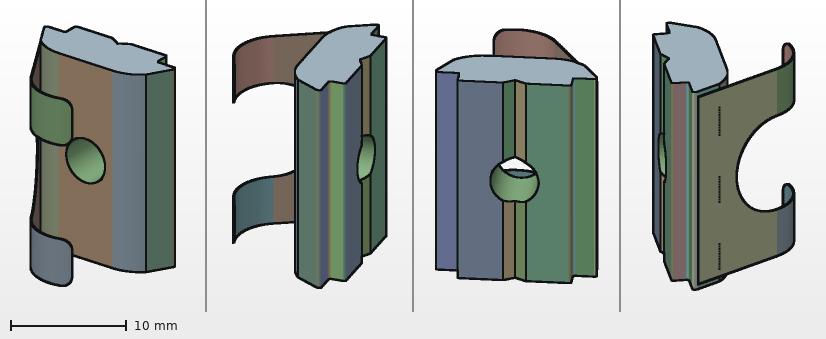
import cadquery as cq
import math


body_length = 19.0
body_depth = 5.2
neck_half_width = 4.95
neck_height = 1.5
shoulder_half_width = 7.0
flat_half_width = 2.92
belly_radius = 4.05
belly_end_x = 5.71
flank_angle = math.radians(60)
edge_radius = 0.2
flank_blend_radius = 0.48
groove_half_width = 1.0
groove_angle = math.radians(30)
hole_diameter = 4.2

spring_width = 18.0
spring_thickness = 0.1
bend_inner_radius = 4.0
bend_end_angle = math.radians(30)
spring_tip_y = -11.69
window_radius = 4.5
leg_corner_radius = 1.0

belly_center_y = belly_radius - body_depth
belly_end_y = belly_center_y - math.sqrt(belly_radius**2 - (belly_end_x - flat_half_width)**2)
flank_corner_y = belly_end_y + (shoulder_half_width - belly_end_x) * math.tan(flank_angle)
groove_depth = groove_half_width * math.tan(groove_angle)

blend_setback = flank_blend_radius * math.tan((math.pi / 2 - flank_angle) / 2)
flank_start_x = shoulder_half_width - blend_setback * math.cos(flank_angle)
flank_start_y = flank_corner_y - blend_setback * math.sin(flank_angle)


def point_at(center, radius, angle):
    """Point on a circle, with the angle measured from -Y toward +X."""
    return (center[0] + radius * math.sin(angle), center[1] - radius * math.cos(angle))


def belly_middle(side):
    """Middle point of the rounded belly edge; side is 1 for +X and -1 for -X."""
    end_angle = math.asin((belly_end_x - flat_half_width) / belly_radius)
    return point_at((side * flat_half_width, belly_center_y), belly_radius, side * end_angle / 2)


def make_body():
    profile = (
        cq.Workplane("XY")
        .workplane(offset=-body_length / 2)
        .moveTo(0, -groove_depth)
        .lineTo(groove_half_width, 0)
        .lineTo(neck_half_width, 0)
        .lineTo(neck_half_width, -neck_height)
        .lineTo(shoulder_half_width, -neck_height)
        .lineTo(shoulder_half_width, flank_corner_y)
        .lineTo(belly_end_x, belly_end_y)
        .threePointArc(belly_middle(1), (flat_half_width, -body_depth))
        .lineTo(-flat_half_width, -body_depth)
        .threePointArc(belly_middle(-1), (-belly_end_x, belly_end_y))
        .lineTo(-shoulder_half_width, flank_corner_y)
        .lineTo(-shoulder_half_width, -neck_height)
        .lineTo(-neck_half_width, -neck_height)
        .lineTo(-neck_half_width, 0)
        .lineTo(-groove_half_width, 0)
        .close()
    )
    body = profile.extrude(body_length)

    rounded_corners = (
        (neck_half_width, 0, edge_radius),
        (neck_half_width, -neck_height, edge_radius),
        (shoulder_half_width, -neck_height, edge_radius),
        (shoulder_half_width, flank_corner_y, flank_blend_radius),
    )
    for x, y, radius in rounded_corners:
        for side in (-1, 1):
            corner = cq.selectors.NearestToPointSelector((side * x, y, 0))
            body = body.edges(corner).fillet(radius)

    hole = cq.Workplane("XZ").circle(hole_diameter / 2).extrude(body_depth)
    return body.cut(hole)


def make_corner_cutter(tip_plane, corner_z, side):
    """Piece outside the rounded corner of a leg whose edge on this side is at corner_z."""
    inner_z = corner_z - side * leg_corner_radius
    arc_middle = (
        inner_z + side * leg_corner_radius * math.sqrt(0.5),
        leg_corner_radius * (1 - math.sqrt(0.5)),
    )
    return (
        cq.Workplane(tip_plane)
        .moveTo(corner_z, 0)
        .lineTo(inner_z, 0)
        .threePointArc(arc_middle, (corner_z, leg_corner_radius))
        .close()
        .extrude(leg_corner_radius, both=True)
    )


def make_spring():
    bend_outer_radius = bend_inner_radius + spring_thickness
    bend_center_y = spring_tip_y + bend_outer_radius
    normal = (-math.sin(flank_angle), -math.cos(flank_angle))
    inner_start = (-flank_start_x, flank_start_y)
    outer_start = (
        inner_start[0] + spring_thickness * normal[0],
        inner_start[1] + spring_thickness * normal[1],
    )
    bend_start_y = bend_center_y + bend_inner_radius * normal[1]
    bend_start_x = inner_start[0] + (inner_start[1] - bend_start_y) / math.tan(flank_angle)
    bend_center = (bend_start_x - bend_inner_radius * normal[0], bend_center_y)

    inner_end = point_at(bend_center, bend_inner_radius, bend_end_angle)
    outer_end = point_at(bend_center, bend_outer_radius, bend_end_angle)
    strip = (
        cq.Workplane("XY")
        .workplane(offset=-spring_width / 2)
        .moveTo(*inner_start)
        .lineTo(bend_start_x, bend_start_y)
        .threePointArc(point_at(bend_center, bend_inner_radius, 0), inner_end)
        .lineTo(*outer_end)
        .threePointArc(
            point_at(bend_center, bend_outer_radius, 0),
            point_at(bend_center, bend_outer_radius, -flank_angle),
        )
        .lineTo(*outer_start)
        .close()
        .extrude(spring_width)
    )

    window_plane = cq.Plane(
        origin=(bend_start_x, bend_start_y, 0), xDir=(0, 0, 1), normal=(*normal, 0)
    )
    gap_length = 2 * bend_outer_radius
    window = (
        cq.Workplane(window_plane)
        .moveTo(-window_radius, 0)
        .threePointArc((0, window_radius), (window_radius, 0))
        .lineTo(window_radius, -gap_length)
        .lineTo(-window_radius, -gap_length)
        .close()
        .extrude(gap_length, both=True)
    )
    strip = strip.cut(window)

    tip_plane = cq.Plane(
        origin=(*outer_end, 0),
        xDir=(0, 0, 1),
        normal=(math.sin(bend_end_angle), -math.cos(bend_end_angle), 0),
    )
    for end in (-1, 1):
        outer_corner_z = end * spring_width / 2
        inner_corner_z = end * window_radius
        strip = strip.cut(make_corner_cutter(tip_plane, outer_corner_z, end))
        strip = strip.cut(make_corner_cutter(tip_plane, inner_corner_z, -end))
    return strip


result = make_body().union(make_spring())